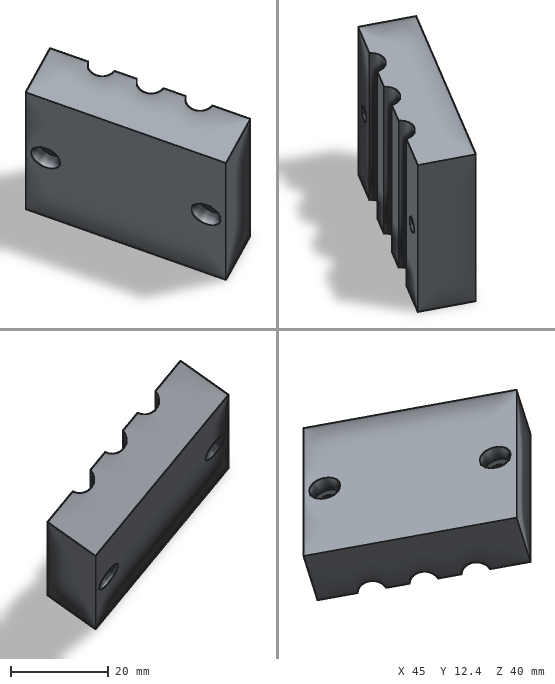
import cadquery as cq

width = 45.0
depth = 12.4
height = 40.0

groove_count = 3
groove_pitch = 11.0
groove_radius = 3.0
groove_depth = 2.5

hole_offset = 18.0
hole_diameter = 3.4
counterbore_diameter = 6.5
counterbore_depth = 3.4

front_y = -depth / 2
back_y = depth / 2


def make_grooves():
    """Cylinders whose lower arcs cut the grooves over the full height."""
    axis_y = back_y - groove_depth + groove_radius
    first_x = -groove_pitch * (groove_count - 1) / 2
    centers = [(first_x + i * groove_pitch, axis_y) for i in range(groove_count)]
    return (
        cq.Workplane("XY", origin=(0, 0, -height / 2))
        .pushPoints(centers)
        .circle(groove_radius)
        .extrude(height)
    )


def make_cylinders(diameter, length):
    """Both screw-hole cylinders, running from the -Y face toward +Y."""
    return (
        cq.Workplane("XZ", origin=(0, front_y, 0))
        .pushPoints([(-hole_offset, 0), (hole_offset, 0)])
        .circle(diameter / 2)
        .extrude(-length)
    )


block = cq.Workplane("XY").box(width, depth, height)
result = (
    block.cut(make_grooves())
    .cut(make_cylinders(hole_diameter, depth))
    .cut(make_cylinders(counterbore_diameter, counterbore_depth))
)